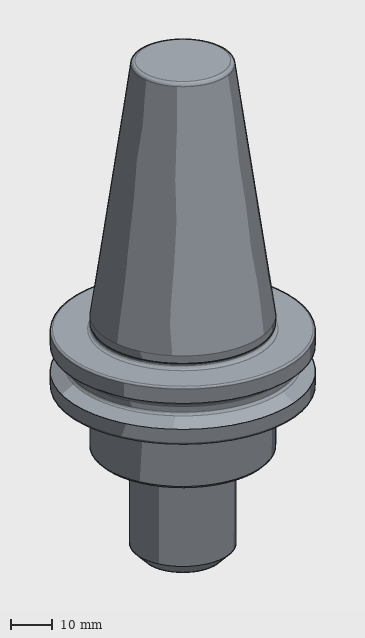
import cadquery as cq
import math

total_height = 131.8

nose_radius = 12.8
nose_chamfer = 3.2

collar_radius = 22.3
collar_bottom = 28.5
collar_chamfer = 0.7
collar_root_fillet = 0.8

flange_radius = 31.8
flange_bottom = 44.8
flange_top = 60.2
flange_edge_fillet = 0.5
groove_floor_radius = 27.9
groove_floor_width = 2.5
groove_center = 52.5
groove_wall_angle = math.radians(30)
groove_root_fillet = 0.9

gauge_radius = 22.3
gauge_bottom = 61.9
gauge_top = 63.9
relief_radius = 21.9
relief_root_fillet = 0.9
relief_chamfer = gauge_radius - relief_radius

taper_ratio = 7 / 24
taper_edge_fillet = 1.0


def cylinder(radius, bottom, top):
    """Solid cylinder on the Z axis between two heights."""
    return cq.Workplane("XY").workplane(offset=bottom).circle(radius).extrude(top - bottom)


def make_nose():
    return cylinder(nose_radius, 0, collar_bottom).faces("<Z").chamfer(nose_chamfer)


def make_collar():
    return cylinder(collar_radius, collar_bottom, flange_bottom).faces("<Z").chamfer(collar_chamfer)


def make_groove():
    """Ring-shaped cutter with sloping walls and rounded root corners."""
    depth = flange_radius - groove_floor_radius
    half_floor = groove_floor_width / 2
    half_mouth = half_floor + depth * math.tan(groove_wall_angle)
    ring = (
        cq.Workplane("XZ")
        .moveTo(groove_floor_radius, groove_center - half_floor)
        .lineTo(flange_radius, groove_center - half_mouth)
        .lineTo(flange_radius, groove_center + half_mouth)
        .lineTo(groove_floor_radius, groove_center + half_floor)
        .close()
        .revolve(360, (0, 0, 0), (0, 1, 0))
    )
    root_edges = cq.selectors.RadiusNthSelector(0)
    return ring.edges(root_edges).fillet(groove_root_fillet)


def make_flange():
    blank = cylinder(flange_radius, flange_bottom, flange_top)
    blank = blank.faces("<Z or >Z").edges().fillet(flange_edge_fillet)
    return blank.cut(make_groove())


def make_root_fillet(shaft_radius, face_height, fillet, direction):
    """Concave ring where a shaft leaves a flange face; direction is +1 upward, -1 downward."""
    fillet_end = face_height + direction * fillet
    center_radius = shaft_radius + fillet
    arc_offset = fillet * math.sqrt(0.5)
    arc_middle = (center_radius - arc_offset, fillet_end - direction * arc_offset)
    return (
        cq.Workplane("XZ")
        .moveTo(0, fillet_end)
        .lineTo(shaft_radius, fillet_end)
        .threePointArc(arc_middle, (center_radius, face_height))
        .lineTo(0, face_height)
        .close()
        .revolve(360, (0, 0, 0), (0, 1, 0))
    )


def make_gauge_band():
    relief = cylinder(relief_radius, flange_top, gauge_bottom)
    band = cylinder(gauge_radius, gauge_bottom - relief_chamfer, gauge_top)
    return relief.union(band.faces("<Z").chamfer(relief_chamfer))


def make_taper():
    height = total_height - gauge_top
    tip_radius = gauge_radius - height * taper_ratio / 2
    cone = cq.Workplane(cq.Solid.makeCone(gauge_radius, tip_radius, height, cq.Vector(0, 0, gauge_top)))
    return cone.faces(">Z").edges().fillet(taper_edge_fillet)


result = (
    make_nose()
    .union(make_collar())
    .union(make_root_fillet(collar_radius, flange_bottom, collar_root_fillet, -1))
    .union(make_flange())
    .union(make_root_fillet(relief_radius, flange_top, relief_root_fillet, 1))
    .union(make_gauge_band())
    .union(make_taper())
)